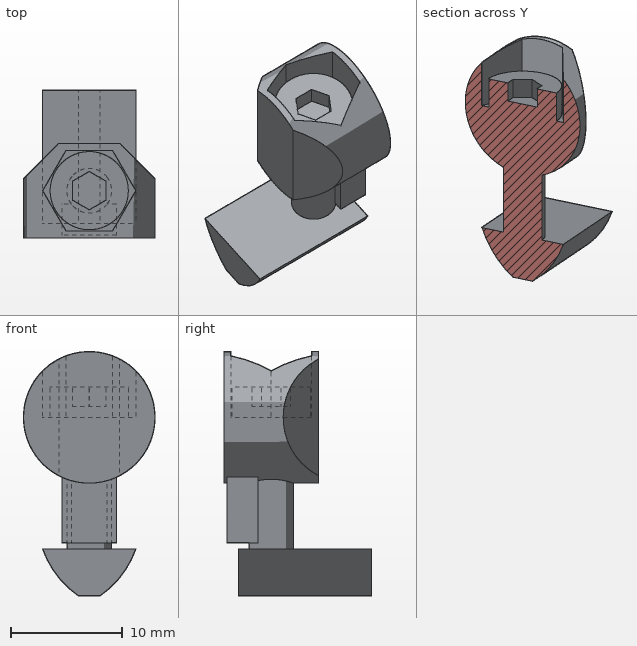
import cadquery as cq
import math

overall_height = 21.9
hexagon_sides = 6

head_diameter = 11.8
head_radius = head_diameter / 2
head_length = 8.5
corner_cut = 3.18

pocket_flats = 7.23
screw_head_diameter = 7.0
screw_head_top = 2.72
pocket_floor = 0.0
socket_flats = 2.98
socket_depth = 1.75
stem_diameter = 4.0

block_width = 4.93
block_front = -3.99
block_back = -1.2
block_bottom = -11.25

nut_top = -11.78
nut_bottom = head_radius - overall_height
nut_front = -2.95
nut_length = 11.95
nut_top_width = 8.39
nut_bottom_width = 1.97
nut_side_bulge = 0.42


def hexagon_diameter(across_flats):
    """Corner-to-corner diameter of a regular hexagon."""
    return across_flats / math.cos(math.pi / hexagon_sides)


def make_head():
    """Cylinder with both rear side corners cut at 45 degrees and a hexagonal pocket from above."""
    rear = head_length / 2
    head = cq.Workplane("XZ").circle(head_radius).extrude(rear, both=True)
    for side in (-1, 1):
        outer = side * head_radius
        corner = (
            cq.Workplane("XY")
            .moveTo(outer, rear)
            .lineTo(outer - side * corner_cut, rear)
            .lineTo(outer, rear - corner_cut)
            .close()
            .extrude(head_radius, both=True)
        )
        head = head.cut(corner)
    pocket = (
        cq.Workplane("XY", origin=(0, 0, pocket_floor))
        .polygon(hexagon_sides, hexagon_diameter(pocket_flats))
        .extrude(head_radius - pocket_floor)
    )
    return head.cut(pocket)


def make_screw():
    """Socket-head screw reaching from the pocket down to the nut."""
    screw_head = (
        cq.Workplane("XY", origin=(0, 0, pocket_floor))
        .circle(screw_head_diameter / 2)
        .extrude(screw_head_top - pocket_floor)
    )
    socket = (
        cq.Workplane("XY", origin=(0, 0, screw_head_top))
        .transformed(rotate=(0, 0, 180 / hexagon_sides))
        .polygon(hexagon_sides, hexagon_diameter(socket_flats))
        .extrude(-socket_depth)
    )
    stem = (
        cq.Workplane("XY", origin=(0, 0, nut_top))
        .circle(stem_diameter / 2)
        .extrude(pocket_floor - nut_top)
    )
    return screw_head.cut(socket).union(stem)


def make_block():
    """Rectangular block running from inside the head down beside the stem."""
    return (
        cq.Workplane("XY", origin=(0, (block_front + block_back) / 2, block_bottom))
        .rect(block_width, block_back - block_front)
        .extrude(pocket_floor - block_bottom)
    )


def make_nut():
    """Nut bar along Y with outward-curved sides narrowing to a flat underside."""
    half_top = nut_top_width / 2
    half_bottom = nut_bottom_width / 2
    return (
        cq.Workplane("XZ", origin=(0, nut_front, 0))
        .moveTo(-half_top, nut_top)
        .lineTo(half_top, nut_top)
        .sagittaArc((half_bottom, nut_bottom), nut_side_bulge)
        .lineTo(-half_bottom, nut_bottom)
        .sagittaArc((-half_top, nut_top), nut_side_bulge)
        .close()
        .extrude(-nut_length)
    )


result = make_head().union(make_block()).union(make_screw()).union(make_nut())